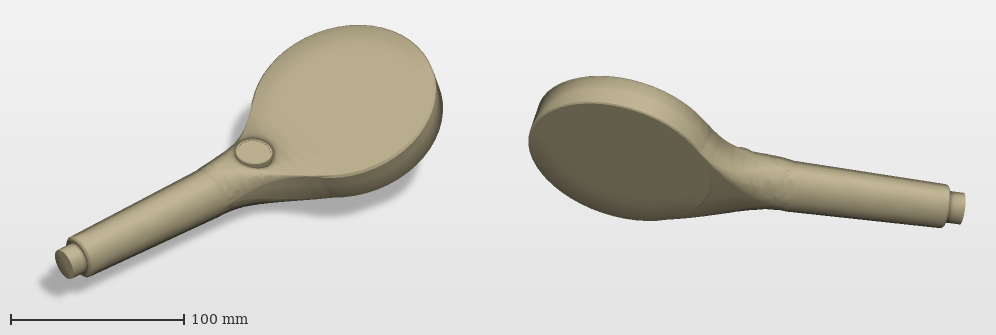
import cadquery as cq
import math


spigot_radius = 9.2
spigot_length = 9.7
handle_end_radius = 12.8
handle_radius = 14.9
handle_top_y = 102.5
handle_end_chamfer = 1.0

total_length = 256.0
head_radius = 54.8
head_thickness = 21.0
head_tilt = 15.5
head_bottom_z = 1.0
head_top_chamfer = 1.3
head_bottom_chamfer = 0.8

neck_mid_y = 126.7
neck_mid_bottom_z = -14.9
neck_mid_half_width = 17.0
neck_mid_height = 28.0
neck_mid_top_radius = 8.2
neck_mid_bottom_radius = 10.2
neck_wide_y = 146.5
neck_wide_bottom_z = -13.8
neck_wide_tilt = 5
neck_wide_half_width = 24.0
neck_wide_height = 23.3
neck_wide_top_radius = 1.5
neck_wide_bottom_radius = 3.5
neck_handle_flat = 0.13
neck_root_distance = 29.5
neck_edge_distance = 35.3
neck_root_sink = 0.5

button_y = 134.7
button_top_z = 15.5
button_radius = 10.8
button_height = 6.1
button_tilt = -4.0
button_chamfer = 0.5
button_rim = 1.3
button_dish_depth = 0.5

tilt = math.radians(head_tilt)
head_center_y = total_length - head_radius * math.cos(tilt)
head_center_y += head_bottom_chamfer * math.sin(tilt)


def tilted_plane(y, z, angle):
    """Plane through (0, y, z) whose normal leans away from Z towards -Y."""
    lean = math.radians(angle)
    return cq.Plane(origin=(0, y, z), xDir=(1, 0, 0), normal=(0, -math.sin(lean), math.cos(lean)))


def make_head():
    disc = cq.Workplane(tilted_plane(head_center_y, head_bottom_z, head_tilt))
    disc = disc.circle(head_radius).extrude(head_thickness)
    front_rim = cq.selectors.DirectionMinMaxSelector(cq.Vector(0, -math.sin(tilt), math.cos(tilt)), True)
    back_rim = cq.selectors.DirectionMinMaxSelector(cq.Vector(0, -math.sin(tilt), math.cos(tilt)), False)
    disc = disc.faces(front_rim).chamfer(head_top_chamfer)
    return disc.faces(back_rim).chamfer(head_bottom_chamfer)


def make_handle():
    """Tapered grip with the narrower inlet spigot at its end."""
    grip_end_y = spigot_length + handle_end_chamfer
    return (
        cq.Workplane("XY")
        .lineTo(spigot_radius, 0)
        .lineTo(spigot_radius, spigot_length)
        .lineTo(handle_end_radius - handle_end_chamfer, spigot_length)
        .lineTo(handle_end_radius, grip_end_y)
        .lineTo(handle_radius, handle_top_y)
        .lineTo(0, handle_top_y)
        .close()
        .revolve(360, (0, 0, 0), (0, 1, 0))
    )


def neck_section(y, z, angle, half_width, height, top_radius, bottom_radius):
    """Rounded section standing on (0, y, z), leaning by angle, facing along the neck."""
    lean = math.radians(angle)
    plane = cq.Plane(origin=(0, y, z), xDir=(1, 0, 0), normal=(0, -math.cos(lean), -math.sin(lean)))
    top_diagonal = top_radius * (1 - math.sqrt(0.5))
    bottom_diagonal = bottom_radius * (1 - math.sqrt(0.5))
    return (
        cq.Workplane(plane)
        .moveTo(bottom_radius - half_width, 0)
        .lineTo(half_width - bottom_radius, 0)
        .threePointArc((half_width - bottom_diagonal, bottom_diagonal), (half_width, bottom_radius))
        .lineTo(half_width, height - top_radius)
        .threePointArc((half_width - top_diagonal, height - top_diagonal), (half_width - top_radius, height))
        .lineTo(top_radius - half_width, height)
        .threePointArc((top_diagonal - half_width, height - top_diagonal), (-half_width, height - top_radius))
        .lineTo(-half_width, bottom_radius)
        .threePointArc((bottom_diagonal - half_width, bottom_diagonal), (bottom_radius - half_width, 0))
        .close()
        .val()
    )


def head_section(distance, sink):
    """Neck section on the chord of the head at this distance from its centre, its top sunk below the face."""
    half_chord = math.sqrt((head_radius - head_bottom_chamfer) ** 2 - distance**2)
    y = head_center_y - distance * math.cos(tilt)
    z = head_bottom_z - distance * math.sin(tilt)
    height = head_thickness - sink
    return neck_section(y, z, head_tilt, half_chord, height, head_top_chamfer, head_bottom_chamfer)


def make_neck():
    handle_corner = handle_radius - neck_handle_flat
    sections = [
        head_section(neck_root_distance, neck_root_sink),
        head_section(neck_edge_distance, 0),
        neck_section(
            neck_wide_y,
            neck_wide_bottom_z,
            neck_wide_tilt,
            neck_wide_half_width,
            neck_wide_height,
            neck_wide_top_radius,
            neck_wide_bottom_radius,
        ),
        neck_section(
            neck_mid_y,
            neck_mid_bottom_z,
            0,
            neck_mid_half_width,
            neck_mid_height,
            neck_mid_top_radius,
            neck_mid_bottom_radius,
        ),
        neck_section(
            handle_top_y,
            -handle_radius,
            0,
            handle_radius,
            2 * handle_radius,
            handle_corner,
            handle_corner,
        ),
    ]
    return cq.Workplane(cq.Solid.makeLoft(sections))


def make_button():
    button = (
        cq.Workplane(tilted_plane(button_y, button_top_z, button_tilt))
        .circle(button_radius)
        .extrude(-button_height)
        .edges(">Z")
        .chamfer(button_chamfer)
    )
    dish = (
        cq.Workplane(tilted_plane(button_y, button_top_z, button_tilt))
        .circle(button_radius - button_rim)
        .extrude(-button_dish_depth)
    )
    return button.cut(dish)


result = make_head().union(make_neck()).union(make_handle()).union(make_button())